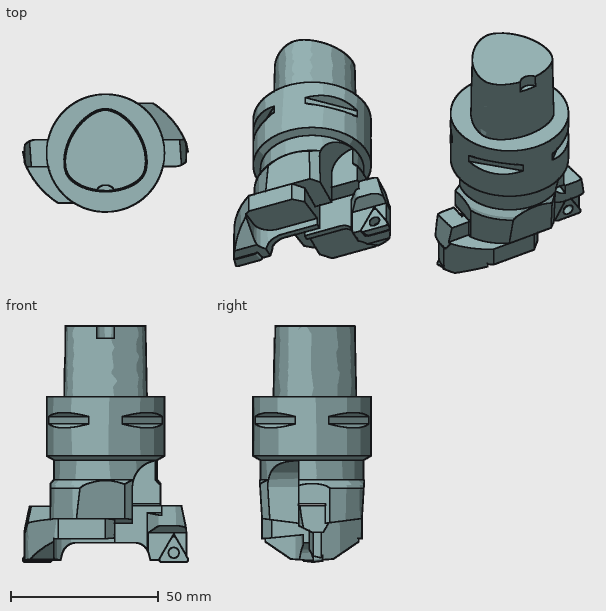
import cadquery as cq
import math


FAR = 48.0

TOTAL_HEIGHT = 80.0
SHANK_BOTTOM = 56.1
SHANK_RADIUS_BOTTOM = 14.1
SHANK_RADIUS_TOP = 13.6
LOBE_HEIGHT = 1.0
LOBES = 3
LOBE_POINTS = 36
KEYWAY_RADIUS = 3.4
KEYWAY_CENTRE_Y = -14.2
KEYWAY_BOTTOM = 75.8

COLLAR_RADIUS = 40.0 / 2
COLLAR_BOTTOM = 36.0
NECK_RADIUS = 35.0 / 2
NECK_TOP = 34.6
NECK_BOTTOM = 27.9
GRIPPER_Z = 48.1
GRIPPER_FLOOR_RADIUS = 17.6
GRIPPER_FLOOR_WIDTH = 2.5
GRIPPER_MOUTH_WIDTH = 5.2

HEAD_RADIUS = 19.6
HEAD_SHOULDER_RADIUS = 19.1
HEAD_SHOULDER_Z = 26.1
HEAD_SIDE_Z = 25.1
SIDE_FLAT_X = 18.6
FRONT_FLAT_Y = 17.0
FRONT_FLAT_TILT = 3.5
FLUTE_X = 9.1
FLUTE_CORNER = 2.6
FLUTE_RADIUS = 9.0
FLUTE_TOP = 34.5

SLOT_HALF = 4.6
SLOT_TOP = 19.8
JOINT_INNER_Z = 13.2
JOINT_OUTER_Z = 14.8
JOINT_SLOPE = (JOINT_OUTER_Z - JOINT_INNER_Z) / (FRONT_FLAT_Y - SLOT_HALF)

SLIDE_TOPS = (19.0, 19.2)
CUTTING_FACES = (0.4, -0.4)
SLIDE_BOTTOM = 0.7
SLIDE_END_X = 27.4
SLIDE_TOP_END_X = 25.4
SLIDE_END_TAPER_Z = 10.1
SLIDE_END_YAW = 4.0
SLIDE_INNER_END_X = 3.1
SLIDE_CHAMFER = 3.3
SLAB_FACE_Y = -0.9
FLANK_END_Y = -3.1
FLANK_MIDDLE = (-23.5, -10.1)
FLANK_START_X = -16.0
GUSSET_ROOT_Z = 16.7
GUSSET_OUTER_Z = 15.9
GUSSET_RIGHT_X = -14.1
GUSSET_LEFT = (-17.4, 3.7)
GUSSET_ROUND_MIDDLE = (-18.1, 4.2)
GUSSET_ROUND_END_X = -19.0
BLOCK_INNER_X = -19.1
BLOCK_ROUND_START_X = -23.6
BLOCK_ROUND_MIDDLE = (-26.0, 3.9)
BLOCK_ROUND_END_Y = 2.7
FLANGE_OUTER_Z = 7.9
FLANGE_SLOPE = 0.1
WEB_FACE_Y = -2.9
LEG_FACE_X = -17.6
LEG_FILLET = 6.4
LEG_BEVEL = ((-2.8, 0.7), (-7.2, 1.0), (-16.0, 7.0))
ARCH_TOP = 6.6
ARCH_FOOT_X = 15.2
ARCH_SHOULDER_X = 13.6
ARCH_FILLET = 4.8
CHIP_CEILING_Z = 9.9
CHIP_CEILING_SLOPE = 0.5

INSERT_CENTRE_X = -23.1
INSERT_INRADIUS = 3.2
INSERT_NOSE_RADIUS = 0.9
INSERT_THICKNESS = 3.2
INSERT_RELIEF = 7.0
INSERT_HOLE_DIAMETER = 3.6


def prism_along_x(points, start=-FAR, end=FAR):
    """Prism with a (Y, Z) outline."""
    return cq.Workplane("YZ", origin=(start, 0, 0)).polyline(points).close().extrude(end - start)


def prism_along_y(points, start=-FAR, end=FAR):
    """Prism with an (X, Z) outline."""
    return cq.Workplane("XZ", origin=(0, end, 0)).polyline(points).close().extrude(end - start)


def both_sides(shape):
    """A shape together with its copy turned half a turn about Z."""
    return shape.union(shape.rotate((0, 0, 0), (0, 0, 1), 180))


def lobe_curve(radius):
    """Points of a constant-width three-lobed outline with one lobe toward +Y."""
    points = []
    for i in range(LOBE_POINTS):
        angle = 2 * math.pi * i / LOBE_POINTS
        phase = LOBES * (angle - math.pi / 2)
        support = radius + LOBE_HEIGHT * math.cos(phase)
        slope = -LOBES * LOBE_HEIGHT * math.sin(phase)
        x = support * math.cos(angle) - slope * math.sin(angle)
        y = support * math.sin(angle) + slope * math.cos(angle)
        points.append((x, y))
    return points


def make_shank():
    shank = (
        cq.Workplane("XY", origin=(0, 0, SHANK_BOTTOM))
        .spline(lobe_curve(SHANK_RADIUS_BOTTOM), periodic=True).close()
        .workplane(offset=TOTAL_HEIGHT - SHANK_BOTTOM)
        .spline(lobe_curve(SHANK_RADIUS_TOP), periodic=True).close()
        .loft(ruled=True)
    )
    keyway = (
        cq.Workplane("XY", origin=(0, KEYWAY_CENTRE_Y, KEYWAY_BOTTOM))
        .circle(KEYWAY_RADIUS).extrude(TOTAL_HEIGHT - KEYWAY_BOTTOM)
    )
    return shank.cut(keyway)


def make_turned_body():
    """Collar, neck and head as one turned shape."""
    return (
        cq.Workplane("XZ")
        .polyline([
            (0, 0),
            (HEAD_RADIUS, 0),
            (HEAD_RADIUS, HEAD_SIDE_Z),
            (HEAD_SHOULDER_RADIUS, HEAD_SHOULDER_Z),
            (NECK_RADIUS, NECK_BOTTOM),
            (NECK_RADIUS, NECK_TOP),
            (COLLAR_RADIUS, COLLAR_BOTTOM),
            (COLLAR_RADIUS, SHANK_BOTTOM),
            (0, SHANK_BOTTOM),
        ]).close()
        .revolve(360, (0, 0, 0), (0, 1, 0))
    )


def gripper_grooves():
    """Four flared grooves across the collar, at 45 degrees to the axes."""
    half_floor = GRIPPER_FLOOR_WIDTH / 2
    half_mouth = GRIPPER_MOUTH_WIDTH / 2
    groove = prism_along_x([
        (GRIPPER_FLOOR_RADIUS, GRIPPER_Z - half_floor),
        (COLLAR_RADIUS, GRIPPER_Z - half_mouth),
        (COLLAR_RADIUS, GRIPPER_Z + half_mouth),
        (GRIPPER_FLOOR_RADIUS, GRIPPER_Z + half_floor),
    ])
    return [groove.rotate((0, 0, 0), (0, 0, 1), 45 + 90 * i) for i in range(4)]


def front_flat():
    """Space outside the tilted -Y flat and the 45 degree facet beside the flute."""
    facet_start_x = FLUTE_X - FLUTE_CORNER
    return (
        cq.Workplane("XY")
        .polyline([
            (-FAR, -FRONT_FLAT_Y),
            (facet_start_x, -FRONT_FLAT_Y),
            (facet_start_x + FAR, FAR - FRONT_FLAT_Y),
            (facet_start_x + FAR, -FAR),
            (-FAR, -FAR),
        ]).close()
        .extrude(NECK_BOTTOM)
        .rotate((0, -FRONT_FLAT_Y, JOINT_OUTER_Z), (1, -FRONT_FLAT_Y, JOINT_OUTER_Z), FRONT_FLAT_TILT)
        .intersect(cq.Workplane("XY").box(2 * FAR, 2 * FAR, NECK_BOTTOM, centered=(True, True, False)))
    )


def flute():
    """Chip flute beside the slot on the -Y side, with a rounded top end."""
    arc_start_z = FLUTE_TOP - FLUTE_RADIUS
    arc_centre_x = FLUTE_X + FLUTE_RADIUS
    half_root = FLUTE_RADIUS * math.sqrt(0.5)
    return (
        cq.Workplane("XZ", origin=(0, -SLOT_HALF, 0))
        .moveTo(FLUTE_X, 0)
        .lineTo(FLUTE_X, arc_start_z)
        .threePointArc((arc_centre_x - half_root, arc_start_z + half_root), (arc_centre_x, FLUTE_TOP))
        .lineTo(FAR, FLUTE_TOP)
        .lineTo(FAR, 0)
        .close()
        .extrude(FAR)
    )


def below_joint():
    """Space below the V-shaped joint face, on the -Y side of the slot and across the slot."""
    rise = JOINT_SLOPE * (FAR - SLOT_HALF)
    return prism_along_x([
        (0, -FAR),
        (0, JOINT_INNER_Z),
        (-SLOT_HALF, JOINT_INNER_Z),
        (-FAR, JOINT_INNER_Z + rise),
        (-FAR, -FAR),
    ])


def make_housing():
    body = make_turned_body().union(make_shank())
    for groove in gripper_grooves():
        body = body.cut(groove)
    slot = prism_along_x([(-SLOT_HALF, 0), (SLOT_HALF, 0), (SLOT_HALF, SLOT_TOP), (-SLOT_HALF, SLOT_TOP)])
    side_flat = prism_along_y([(SIDE_FLAT_X, 0), (FAR, 0), (FAR, NECK_BOTTOM), (SIDE_FLAT_X, NECK_BOTTOM)])
    body = body.cut(slot)
    for cutter in (side_flat, front_flat(), flute(), below_joint()):
        body = body.cut(both_sides(cutter))
    return body


def slide_blank(top):
    """Slide of the -X side before its cuts: one plan outline at full height."""
    return (
        cq.Workplane("XY", origin=(0, 0, SLIDE_BOTTOM))
        .moveTo(-SLIDE_END_X, FLANK_END_Y)
        .threePointArc(FLANK_MIDDLE, (FLANK_START_X, -FRONT_FLAT_Y))
        .lineTo(SLIDE_INNER_END_X - SLIDE_CHAMFER, -FRONT_FLAT_Y)
        .lineTo(SLIDE_INNER_END_X, -FRONT_FLAT_Y + SLIDE_CHAMFER)
        .lineTo(SLIDE_INNER_END_X, SLAB_FACE_Y)
        .lineTo(GUSSET_RIGHT_X, SLAB_FACE_Y)
        .lineTo(*GUSSET_LEFT)
        .threePointArc(GUSSET_ROUND_MIDDLE, (GUSSET_ROUND_END_X, SLOT_HALF))
        .lineTo(BLOCK_ROUND_START_X, SLOT_HALF)
        .threePointArc(BLOCK_ROUND_MIDDLE, (-SLIDE_END_X, BLOCK_ROUND_END_Y))
        .close()
        .extrude(top - SLIDE_BOTTOM)
    )


def above_flange():
    """Space above the joint face, outside the slot."""
    return prism_along_x([
        (-SLOT_HALF, JOINT_INNER_Z),
        (-SLOT_HALF, FAR),
        (-FAR, FAR),
        (-FAR, JOINT_INNER_Z + JOINT_SLOPE * (FAR - SLOT_HALF)),
    ])


def above_gusset():
    """Space above the sloped top of the gusset, inboard of the end block."""
    return prism_along_x(
        [
            (SLAB_FACE_Y, GUSSET_ROOT_Z),
            (SLOT_HALF, GUSSET_OUTER_Z),
            (SLOT_HALF, FAR),
            (SLAB_FACE_Y, FAR),
        ],
        start=BLOCK_INNER_X,
    )


def under_flange():
    """Space beside the web, between the leg and the inner end, below the sloped flange."""
    plan = (
        cq.Workplane("XY", origin=(0, 0, -FAR))
        .polyline([(LEG_FACE_X, WEB_FACE_Y), (FAR, WEB_FACE_Y), (FAR, -FAR), (LEG_FACE_X, -FAR)]).close()
        .extrude(2 * FAR)
        .edges("|Z and <X and >Y").fillet(LEG_FILLET)
    )
    slope = prism_along_x([
        (0, FLANGE_OUTER_Z + FLANGE_SLOPE * FRONT_FLAT_Y),
        (-FAR, FLANGE_OUTER_Z + FLANGE_SLOPE * (FRONT_FLAT_Y - FAR)),
        (-FAR, -FAR),
        (0, -FAR),
    ])
    return plan.intersect(slope)


def leg_bevel():
    """Space under the sloped foot of the leg."""
    (_, foot_z), (heel_y, heel_z), (outer_y, outer_z) = LEG_BEVEL
    slope = (outer_z - heel_z) / (heel_y - outer_y)
    return prism_along_x([
        *LEG_BEVEL,
        (-FAR, outer_z + slope * (FAR + outer_y)),
        (-FAR, foot_z),
    ])


def arch():
    """Arched opening between the feet of the two slides."""
    return (
        prism_along_y([
            (-ARCH_FOOT_X, SLIDE_BOTTOM),
            (-ARCH_SHOULDER_X, ARCH_TOP),
            (ARCH_SHOULDER_X, ARCH_TOP),
            (ARCH_FOOT_X, SLIDE_BOTTOM),
        ])
        .edges("|Y and >Z").fillet(ARCH_FILLET)
    )


def slanted_end(top):
    """Space outside the upper end face, which leans inward toward the top and is turned slightly about Z."""
    wedge = prism_along_y([
        (-SLIDE_TOP_END_X, top),
        (-SLIDE_END_X, SLIDE_END_TAPER_Z),
        (-FAR, SLIDE_END_TAPER_Z),
        (-FAR, top),
    ])
    return wedge.rotate((-SLIDE_END_X, 0, 0), (-SLIDE_END_X, 0, 1), SLIDE_END_YAW)


def chip_pocket(face_y):
    """Space in front of the insert, under a sloped ceiling."""
    return prism_along_x([
        (face_y, 0),
        (face_y, CHIP_CEILING_Z),
        (FAR, CHIP_CEILING_Z + CHIP_CEILING_SLOPE * (FAR - face_y)),
        (FAR, 0),
    ])


def insert_plane(face_y):
    """Plane of the cutting face, centred on the insert, with its normal into the insert (-Y)."""
    return cq.Workplane("XZ", origin=(INSERT_CENTRE_X, face_y, INSERT_INRADIUS))


def insert_seat(face_y):
    """Sharp-cornered triangle with side relief, from the cutting face toward -Y."""
    half_side = INSERT_INRADIUS * math.sqrt(3)
    return (
        insert_plane(face_y)
        .polyline([
            (-half_side, -INSERT_INRADIUS),
            (half_side, -INSERT_INRADIUS),
            (0, 2 * INSERT_INRADIUS),
        ]).close()
        .extrude(INSERT_THICKNESS, taper=INSERT_RELIEF)
    )


def make_slide(top, face_y):
    slide = slide_blank(top)
    for cutter in (
        above_flange(),
        above_gusset(),
        under_flange(),
        leg_bevel(),
        arch(),
        slanted_end(top),
        chip_pocket(face_y),
        insert_seat(face_y),
    ):
        slide = slide.cut(cutter)
    return slide


def make_insert(face_y):
    """Insert with rounded noses and a screw hole."""
    hole = insert_plane(face_y).circle(INSERT_HOLE_DIAMETER / 2).extrude(INSERT_THICKNESS)
    nose_edges = "not (<Y or >Y)"
    return insert_seat(face_y).edges(nose_edges).fillet(INSERT_NOSE_RADIUS).cut(hole)


def turned(body, index):
    """A body turned into its place, half a turn about Z for each index."""
    return body.rotate((0, 0, 0), (0, 0, 1), 180 * index)


housing = make_housing()
slides = []
inserts = []
for index, (slide_top, cutting_face) in enumerate(zip(SLIDE_TOPS, CUTTING_FACES)):
    slides.append(turned(make_slide(slide_top, cutting_face), index))
    inserts.append(turned(make_insert(cutting_face), index))

bodies = [housing, *slides, *inserts]
result = cq.Compound.makeCompound([body.solids().val() for body in bodies])